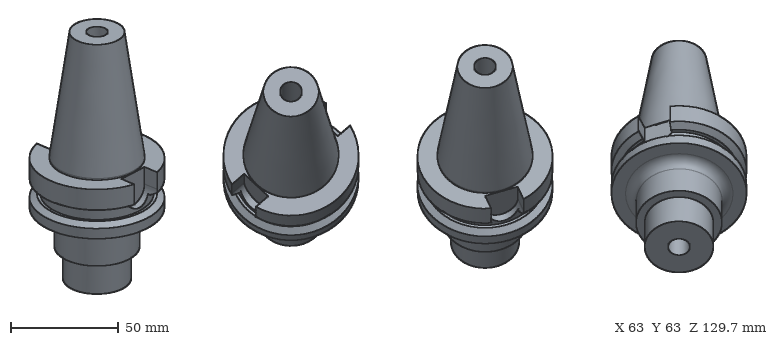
import cadquery as cq
import math

total_height = 129.74
taper_length = 65.4
gauge_z = total_height - taper_length
neck_height = 1.0
flange_top_z = gauge_z - neck_height
flange_bottom_z = 37.34
nose_step_z = 16.95

gauge_diameter = 44.45
tip_diameter = 25.75
flange_diameter = 63.0
groove_diameter = 53.0
collar_diameter = 40.0
nose_diameter = 32.0
bore_diameter = 10.2

lower_rim_height = 5.4
groove_width = 5.8
flank_height = 2.0
flank_angle = 60.0
lower_rim_z = flange_bottom_z + lower_rim_height
groove_bottom_z = lower_rim_z + flank_height
groove_top_z = groove_bottom_z + groove_width
upper_rim_z = groove_top_z + flank_height

collar_fillet = 5.0

slot_width = 16.1
slot_bottom_z = 46.4
slot_floor_x = 22.5


def make_body():
    """Revolve the half profile of the holder around Z."""
    flange_r = flange_diameter / 2
    groove_r = groove_diameter / 2
    collar_r = collar_diameter / 2
    nose_r = nose_diameter / 2
    gauge_r = gauge_diameter / 2
    flank_r = flange_r - flank_height * math.tan(math.radians(flank_angle))
    arc_reach = collar_fillet * (1 - math.sqrt(0.5))
    profile = (
        cq.Workplane("YZ")
        .lineTo(nose_r, 0)
        .lineTo(nose_r, nose_step_z)
        .lineTo(collar_r, nose_step_z)
        .lineTo(collar_r, flange_bottom_z - collar_fillet)
        .threePointArc(
            (collar_r + arc_reach, flange_bottom_z - arc_reach),
            (collar_r + collar_fillet, flange_bottom_z),
        )
        .lineTo(flange_r, flange_bottom_z)
        .lineTo(flange_r, lower_rim_z)
        .lineTo(flank_r, groove_bottom_z)
        .lineTo(groove_r, groove_bottom_z)
        .lineTo(groove_r, groove_top_z)
        .lineTo(flank_r, groove_top_z)
        .lineTo(flange_r, upper_rim_z)
        .lineTo(flange_r, flange_top_z)
        .lineTo(gauge_r, flange_top_z)
        .lineTo(gauge_r, gauge_z)
        .lineTo(tip_diameter / 2, total_height)
        .lineTo(0, total_height)
        .close()
    )
    return profile.revolve(360, (0, 0), (0, 1))


def make_slot(side):
    """Round-bottomed drive slot cutter, open at the flange top, on the +X (1) or -X (-1) side."""
    slot_r = slot_width / 2
    arc_center_z = slot_bottom_z + slot_r
    outline = (
        cq.Workplane("YZ", origin=(side * slot_floor_x, 0, 0))
        .moveTo(-slot_r, flange_top_z)
        .lineTo(-slot_r, arc_center_z)
        .threePointArc((0, slot_bottom_z), (slot_r, arc_center_z))
        .lineTo(slot_r, flange_top_z)
        .close()
    )
    return outline.extrude(side * flange_diameter / 2)


def make_bore():
    """Central bore through the whole length."""
    return cq.Workplane("XY").circle(bore_diameter / 2).extrude(total_height)


result = make_body().cut(make_bore())
for side in (-1, 1):
    result = result.cut(make_slot(side))